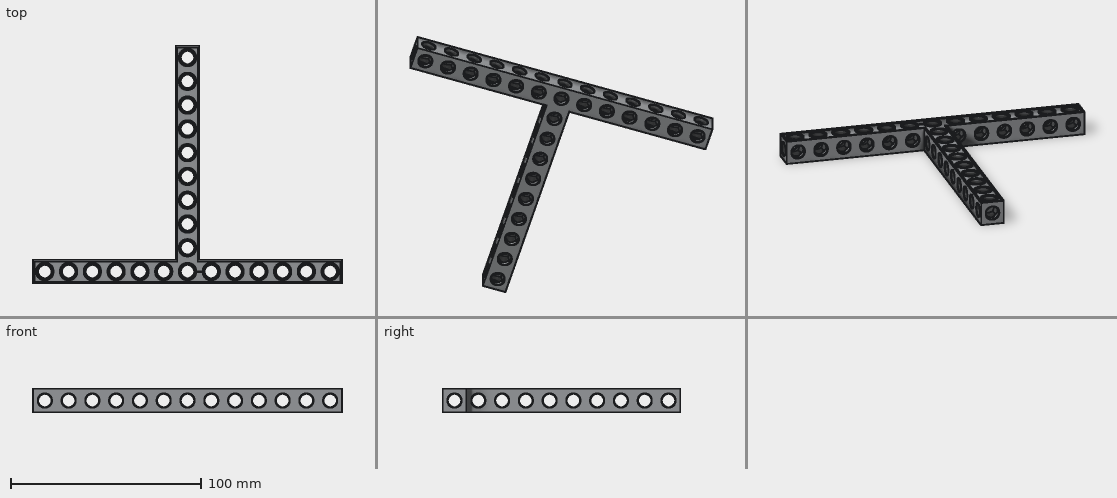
import cadquery as cq

length = 162.5
bar_holes = 13
stem_holes = 9
hole_diameter = 7.0
countersink = 0.3
ring_diameter = 9.3
border = 1.0
recess_depth = 0.3
rib_width = 0.5

pitch = length / bar_holes
width = pitch
half_width = width / 2
stem_tip = stem_holes * pitch + half_width
bar_positions = [(i - (bar_holes - 1) / 2) * pitch for i in range(bar_holes)]
stem_positions = [(i + 1) * pitch for i in range(stem_holes)]
hole_centers = [(x, 0) for x in bar_positions] + [(0, y) for y in stem_positions]


def tee(inset, bottom, height):
    """T-shaped slab whose outline is moved inward by the inset."""
    bar_half = length / 2 - inset
    beam_half = half_width - inset
    tip = stem_tip - inset
    outline = [
        (-bar_half, -beam_half),
        (bar_half, -beam_half),
        (bar_half, beam_half),
        (beam_half, beam_half),
        (beam_half, tip),
        (-beam_half, tip),
        (-beam_half, beam_half),
        (-bar_half, beam_half),
    ]
    return cq.Workplane("XY", origin=(0, 0, bottom)).polyline(outline).close().extrude(height)


def top_recess():
    """Shallow floor in the top face that leaves the border, the hole rings and one rib standing."""
    floor = half_width - recess_depth
    rings = (
        cq.Workplane("XY", origin=(0, 0, floor))
        .pushPoints(hole_centers)
        .circle(ring_diameter / 2)
        .extrude(recess_depth)
    )
    rib = cq.Workplane("XY", origin=(half_width, 0, floor)).box(
        pitch - hole_diameter, rib_width, recess_depth, centered=(True, True, False)
    )
    return tee(border, floor, recess_depth).cut(rings).cut(rib)


def through_hole(start, direction, depth):
    """Cutter for a round hole with a small countersink at both mouths."""
    radius = hole_diameter / 2
    profile = [
        (0, 0),
        (radius + countersink, 0),
        (radius, countersink),
        (radius, depth - countersink),
        (radius + countersink, depth),
        (0, depth),
    ]
    side = (0, 0, 1) if direction[2] == 0 else (1, 0, 0)
    normal = cq.Vector(*side).cross(cq.Vector(*direction))
    plane = cq.Plane(origin=start, xDir=side, normal=normal)
    return cq.Workplane(plane).polyline(profile).close().revolve(360, (0, 0, 0), (0, 1, 0))


result = tee(0, -half_width, width).cut(top_recess())

for x, y in hole_centers:
    result = result.cut(through_hole((x, y, -half_width), (0, 0, 1), width))

for x in bar_positions:
    depth = stem_tip + half_width if x == 0 else width
    result = result.cut(through_hole((x, -half_width, 0), (0, 1, 0), depth))

for y in stem_positions:
    result = result.cut(through_hole((-half_width, y, 0), (1, 0, 0), width))
result = result.cut(through_hole((-length / 2, 0, 0), (1, 0, 0), length))